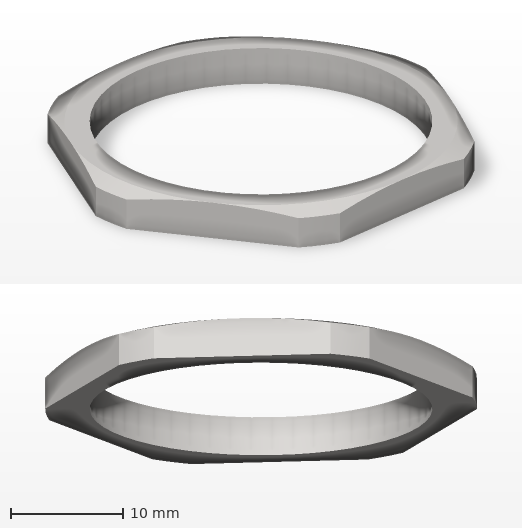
import cadquery as cq
import math

across_flats = 35.0
corner_diameter = 38.4
bore_diameter = 30.5
thickness = 3.5
chamfer_angle = 20.0
side_count = 6

hexagon_corner_diameter = across_flats / math.cos(math.pi / side_count)
flat_radius = across_flats / 2
corner_radius = corner_diameter / 2
chamfer_drop = (corner_radius - flat_radius) * math.tan(math.radians(chamfer_angle))


def hexagon_blank():
    """Hexagonal prism with flats facing +Y and -Y."""
    return cq.Workplane("XY").polygon(side_count, hexagon_corner_diameter).extrude(thickness)


def turned_envelope():
    """Cylinder with a conical top that starts at the inscribed circle of the hexagon."""
    profile = (
        cq.Workplane("XZ")
        .lineTo(corner_radius, 0)
        .lineTo(corner_radius, thickness - chamfer_drop)
        .lineTo(flat_radius, thickness)
        .lineTo(0, thickness)
        .close()
    )
    return profile.revolve(360, (0, 0, 0), (0, 1, 0))


def bore():
    """Plain through bore."""
    return cq.Workplane("XY").circle(bore_diameter / 2).extrude(thickness)


result = hexagon_blank().intersect(turned_envelope()).cut(bore())